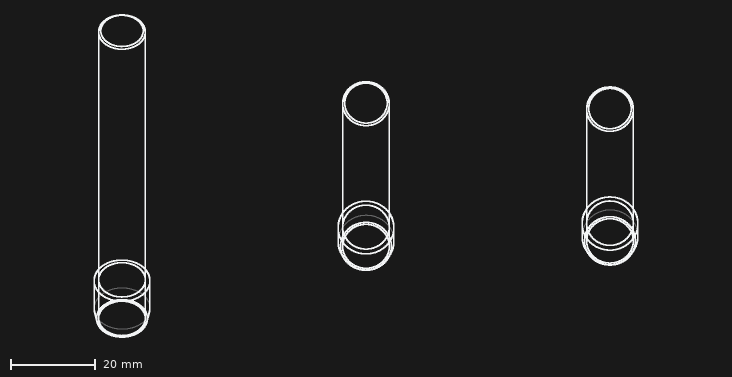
import cadquery as cq

pin_length = 100.0
pin_radius = 5.5
pin_chamfer_width = 0.5
pin_chamfer_height = 0.4

sleeve_height = 13.4
sleeve_radius = 6.6
sleeve_bevel_height = 0.3
nose_height = 3.5
nose_end_radius = 6.0


def make_pin():
    """Round pin with a beveled top edge, standing on the XY plane."""
    return (
        cq.Workplane("XZ")
        .lineTo(pin_radius, 0)
        .lineTo(pin_radius, pin_length - pin_chamfer_height)
        .lineTo(pin_radius - pin_chamfer_width, pin_length)
        .lineTo(0, pin_length)
        .close()
        .revolve(360, (0, 0), (0, 1))
    )


def make_sleeve():
    """Sleeve bored through for the pin, with a conical top and a tapered nose."""
    return (
        cq.Workplane("XZ")
        .moveTo(pin_radius, 0)
        .lineTo(nose_end_radius, 0)
        .lineTo(sleeve_radius, nose_height)
        .lineTo(sleeve_radius, sleeve_height - sleeve_bevel_height)
        .lineTo(pin_radius, sleeve_height)
        .close()
        .revolve(360, (0, 0), (0, 1))
    )


pin = make_pin()
sleeve = make_sleeve()

result = cq.Compound.makeCompound([pin.val(), sleeve.val()])